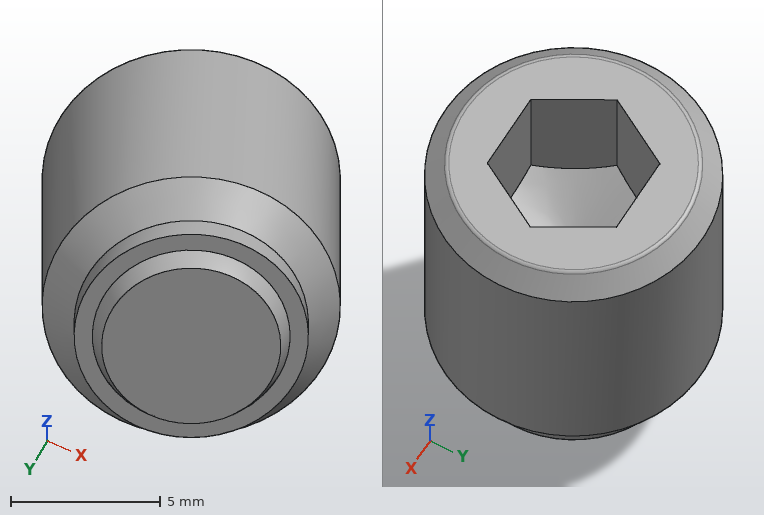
import cadquery as cq
import math

overall_height = 12.0

body_diameter = 10.0
neck_radius = 3.92
neck_bottom_z = 0.67
neck_height = 0.92
top_chamfer = 0.73
rim_round_radius = 0.2

hex_across_flats = 5.0
hex_depth = 4.2
floor_cone_angle = 120.0

ball_radius = 3.5
ball_flat_radius = 3.0

body_radius = body_diameter / 2
neck_top_z = neck_bottom_z + neck_height
shoulder_z = neck_top_z + body_radius - neck_radius
top_face_radius = body_radius - top_chamfer
ball_center_z = math.sqrt(ball_radius**2 - ball_flat_radius**2)
hex_corner_radius = hex_across_flats / math.sqrt(3)
floor_cone_height = hex_corner_radius / math.tan(math.radians(floor_cone_angle / 2))


def make_full_ball():
    """Ball before its flat is cut; also the shape of its seat."""
    return cq.Workplane("XY").sphere(ball_radius).translate((0, 0, ball_center_z))


def make_ball():
    """Ball truncated by the contact flat at Z = 0."""
    keep = cq.Workplane("XY").circle(2 * ball_radius).extrude(overall_height)
    return make_full_ball().intersect(keep)


def make_drive_socket():
    """Hexagonal recess whose floor is a shallow drill-point cone."""
    corner_z = overall_height - hex_depth
    apex_z = corner_z - floor_cone_height
    hexagon = (
        cq.Workplane("XY", origin=(0, 0, apex_z))
        .polygon(6, 2 * hex_corner_radius)
        .extrude(overall_height - apex_z)
    )
    drilled = (
        cq.Workplane("XZ")
        .moveTo(0, apex_z)
        .lineTo(hex_corner_radius, corner_z)
        .lineTo(hex_corner_radius, overall_height)
        .lineTo(0, overall_height)
        .close()
        .revolve(360, (0, 0), (0, 1))
    )
    return hexagon.intersect(drilled)


def make_screw():
    """Turned body with the drive socket above and the ball seat below."""
    blank = (
        cq.Workplane("XZ")
        .moveTo(0, neck_bottom_z)
        .lineTo(neck_radius, neck_bottom_z)
        .lineTo(neck_radius, neck_top_z)
        .lineTo(body_radius, shoulder_z)
        .lineTo(body_radius, overall_height - top_chamfer)
        .lineTo(top_face_radius, overall_height)
        .lineTo(0, overall_height)
        .close()
        .revolve(360, (0, 0), (0, 1))
    )
    blank = blank.faces(">Z").edges().fillet(rim_round_radius)
    return blank.cut(make_drive_socket()).cut(make_full_ball())


screw = make_screw()
ball = make_ball()

result = cq.Compound.makeCompound([screw.val(), ball.val()])